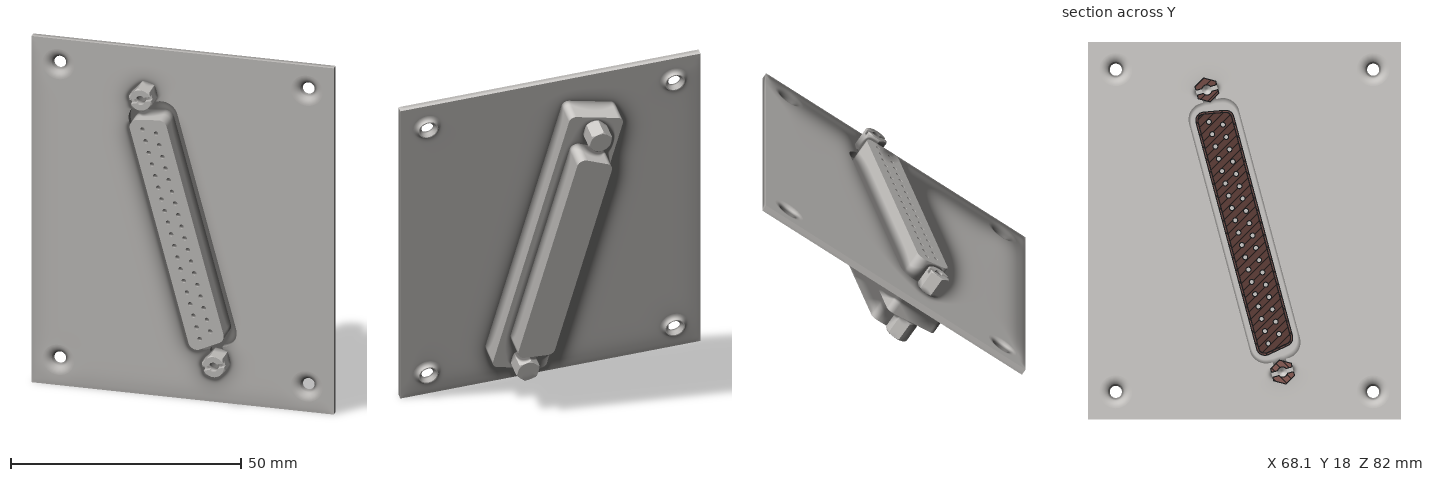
import cadquery as cq
import math


panel_width = 68.1
panel_height = 82.0
panel_thickness = 1.5
mount_x = 28.0
mount_z = 35.0

dish_diameter = 7.1
dish_floor_diameter = 3.45
dish_depth = 0.8
throat_depth = 1.6
mount_hole_diameter = 2.6
mount_back_diameter = 3.9
boss_base_diameter = 6.3
boss_tip_diameter = 4.4
boss_height = 1.1

tilt = math.radians(15)
end_slope = math.radians(10)

cutout_width = 11.2
cutout_length = 58.4
cutout_radius = 3.6

housing_width = 12.6
housing_length = 69.4
housing_depth = 5.75
housing_radius = 1.4

plug_width = 8.4
plug_length = 54.0
front_reach = 4.6
rear_reach = 5.9
front_radius = 1.9
rear_radius = 1.6
shell_wall = 0.6

long_row_length = 49.9
long_row_count = 19
short_row_count = long_row_count - 1
pin_pitch = long_row_length / (long_row_count - 1)
pin_row_spacing = 2.8
pin_hole_diameter = 1.0
pin_hole_depth = 4.1

screw_spacing = 63.5
front_screw_length = 4.8
rear_screw_length = 4.7
screw_across_flats = 4.75
screw_chamfer_length = 0.25
screw_chamfer_depth = 0.37
screw_collar_height = 0.4
screw_collar_diameter = 4.3
screw_bore_diameter = 2.1
screw_bore_depth = 3.3
screw_slot_width = 1.0
screw_slot_depth = 1.15
clearance_width = 2.95

housing_front = panel_thickness
housing_back = housing_front + housing_depth


def tilted_plane(y, facing):
    """Plane at depth y along the connector; local Y runs up its length. facing is -1 front, +1 rear."""
    return cq.Workplane(
        cq.Plane(
            origin=(0, y, 0),
            xDir=(-facing * math.cos(tilt), 0, -facing * math.sin(tilt)),
            normal=(0, facing, 0),
        )
    )


def d_block(y, facing, width, length, radius, depth):
    """Rounded D-shaped prism whose long side is at local -X; length is measured midway across."""
    half_width = width / 2
    lean = half_width * math.tan(end_slope)
    long_half = length / 2 + lean
    short_half = length / 2 - lean
    corners = [
        (-half_width, -long_half),
        (half_width, -short_half),
        (half_width, short_half),
        (-half_width, long_half),
    ]
    block = tilted_plane(y, facing).polyline(corners).close().extrude(depth)
    return block.edges("|Y").fillet(radius)


def rounded_bar(y, width, length, radius, depth):
    """Rectangular bar along the connector with rounded corners, running back from depth y."""
    bar = tilted_plane(y, 1).rect(width, length).extrude(depth)
    return bar.edges("|Y").fillet(radius)


def turned(profile, x, y, z):
    """Close a profile drawn as (radius, distance along Y) and turn it about the Y axis through a point."""
    return profile.close().revolve(360, (0, 0), (0, 1)).translate((x, y, z))


def mount_boss(x, z):
    """Flared boss behind the panel whose concave side runs smoothly into the back face."""
    base_radius = boss_base_diameter / 2
    tip_radius = boss_tip_diameter / 2
    tip_y = panel_thickness + boss_height
    flare_middle = (
        base_radius - (base_radius - tip_radius) * math.sin(math.pi / 4),
        panel_thickness + boss_height * (1 - math.cos(math.pi / 4)),
    )
    profile = (
        cq.Workplane("XY")
        .lineTo(base_radius, 0)
        .lineTo(base_radius, panel_thickness)
        .threePointArc(flare_middle, (tip_radius, tip_y))
        .lineTo(0, tip_y)
    )
    return turned(profile, x, 0, z)


def mount_hollow(x, z):
    """Dish curving in from the front face, a cone down to the throat and a cone opening to the back."""
    dish_radius = dish_diameter / 2
    floor_radius = dish_floor_diameter / 2
    hole_radius = mount_hole_diameter / 2
    back_radius = mount_back_diameter / 2
    run = dish_radius - floor_radius
    arc_radius = (run**2 + dish_depth**2) / (2 * dish_depth)
    half_sweep = math.asin(run / arc_radius) / 2
    arc_middle = (
        dish_radius - arc_radius * math.sin(half_sweep),
        arc_radius * (1 - math.cos(half_sweep)),
    )
    profile = (
        cq.Workplane("XY")
        .lineTo(dish_radius, 0)
        .threePointArc(arc_middle, (floor_radius, dish_depth))
        .lineTo(hole_radius, throat_depth)
        .lineTo(back_radius, panel_thickness + boss_height)
        .lineTo(0, panel_thickness + boss_height)
    )
    return turned(profile, x, 0, z)


def make_panel():
    """Panel with four mounting holes and an opening for the front shell and the screw line."""
    panel = cq.Workplane("XY").box(panel_width, panel_thickness, panel_height)
    panel = panel.translate((0, panel_thickness / 2, 0))
    for x in (-mount_x, mount_x):
        for z in (-mount_z, mount_z):
            panel = panel.union(mount_boss(x, z)).cut(mount_hollow(x, z))
    cutout = rounded_bar(0, cutout_width, cutout_length, cutout_radius, panel_thickness)
    screw_clearance = (
        tilted_plane(0, 1)
        .slot2D(screw_spacing + clearance_width, clearance_width, 90)
        .extrude(panel_thickness)
    )
    return panel.cut(cutout).cut(screw_clearance)


def insert_blank():
    """Contact block that fills the front shell from its rim back to the flange."""
    return d_block(
        housing_front,
        -1,
        plug_width - 2 * shell_wall,
        plug_length - 2 * shell_wall,
        front_radius - shell_wall,
        housing_front + front_reach,
    )


def make_housing():
    """Flange block with a thin shell through the panel in front and a solid plug behind."""
    flange = rounded_bar(housing_front, housing_width, housing_length, housing_radius, housing_depth)
    front = d_block(
        housing_front, -1, plug_width, plug_length, front_radius, housing_front + front_reach
    )
    rear = d_block(housing_back, 1, plug_width, plug_length, rear_radius, rear_reach)
    return flange.union(front.cut(insert_blank())).union(rear)


def pin_points():
    """Contact places as (across, along), the longer row on the insert's long side."""
    rows = ((-pin_row_spacing / 2, long_row_count), (pin_row_spacing / 2, short_row_count))
    return [
        (x, (i - (count - 1) / 2) * pin_pitch)
        for x, count in rows
        for i in range(count)
    ]


def make_insert():
    """Contact insert with a blind socket for every pin."""
    sockets = (
        tilted_plane(pin_hole_depth - front_reach, -1)
        .pushPoints(pin_points())
        .circle(pin_hole_diameter / 2)
        .extrude(pin_hole_depth)
    )
    return insert_blank().cut(sockets)


def screw_axis(along):
    """World X and Z of a screw axis at a distance along the connector."""
    return -along * math.sin(tilt), along * math.cos(tilt)


def hex_bar(start_y, along, length):
    """Hexagonal bar running back from start_y, its corners turned off at both ends."""
    corner_radius = screw_across_flats / math.sqrt(3)
    end_radius = corner_radius - screw_chamfer_depth
    bar = (
        tilted_plane(start_y, 1)
        .center(0, along)
        .transformed(rotate=(0, 0, 90))
        .polygon(6, 2 * corner_radius)
        .extrude(length)
    )
    profile = (
        cq.Workplane("XY")
        .lineTo(end_radius, 0)
        .lineTo(corner_radius, screw_chamfer_length)
        .lineTo(corner_radius, length - screw_chamfer_length)
        .lineTo(end_radius, length)
        .lineTo(0, length)
    )
    x, z = screw_axis(along)
    return bar.intersect(turned(profile, x, start_y, z))


def make_front_screw(along):
    """Jack screw on the panel with a cone-bottomed bore and a driver slot in its free end."""
    free_y = -front_screw_length
    bore_radius = screw_bore_diameter / 2
    bore_profile = (
        cq.Workplane("XY")
        .lineTo(bore_radius, 0)
        .lineTo(bore_radius, screw_bore_depth - bore_radius)
        .lineTo(0, screw_bore_depth)
    )
    x, z = screw_axis(along)
    bore = turned(bore_profile, x, free_y, z)
    slot = (
        tilted_plane(free_y, 1)
        .center(0, along)
        .rect(2 * screw_across_flats, screw_slot_width)
        .extrude(screw_slot_depth)
    )
    return hex_bar(free_y, along, front_screw_length).cut(bore).cut(slot)


def make_rear_screw(along):
    """Plain jack screw standing on a round collar on the back of the flange."""
    collar = (
        tilted_plane(housing_back, 1)
        .center(0, along)
        .circle(screw_collar_diameter / 2)
        .extrude(screw_collar_height)
    )
    return collar.union(hex_bar(housing_back + screw_collar_height, along, rear_screw_length))


panel = make_panel()
housing = make_housing()
insert = make_insert()
screw_places = (-screw_spacing / 2, screw_spacing / 2)
front_screws = [make_front_screw(along) for along in screw_places]
rear_screws = [make_rear_screw(along) for along in screw_places]

result = cq.Compound.makeCompound(
    [
        panel.val(),
        housing.val(),
        insert.val(),
        *[screw.val() for screw in front_screws + rear_screws],
    ]
)